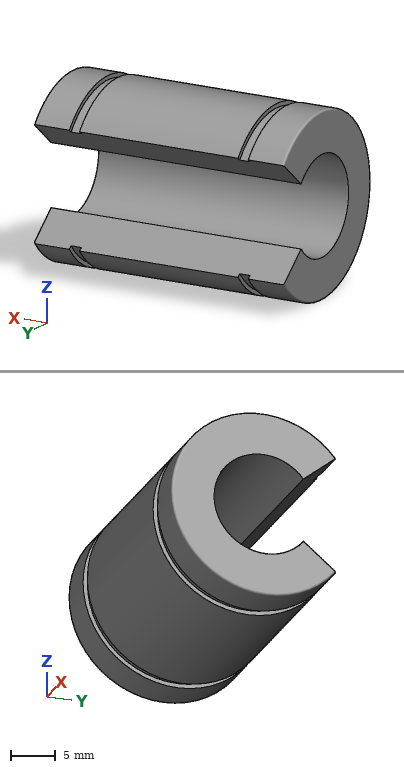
import cadquery as cq
import math

length = 32.0
outer_diameter = 22.0
bore_diameter = 12.0
end_fillet = 0.25

groove_width = 1.3
groove_diameter = 21.0
groove_span = 22.9

opening_angle = 78.0


def cylinder_along_x(diameter, x_start, x_length):
    return cq.Workplane("YZ", origin=(x_start, 0, 0)).circle(diameter / 2).extrude(x_length)


def sleeve():
    body = cylinder_along_x(outer_diameter, -length / 2, length)
    body = body.faces("<X or >X").fillet(end_fillet)
    return body.cut(cylinder_along_x(bore_diameter, -length / 2, length))


def ring_groove(x_start):
    around = cylinder_along_x(outer_diameter, x_start, groove_width)
    return around.cut(cylinder_along_x(groove_diameter, x_start, groove_width))


def opening_wedge():
    reach = outer_diameter
    half_width = reach * math.tan(math.radians(opening_angle / 2))
    return (
        cq.Workplane("YZ", origin=(-length / 2, 0, 0))
        .polyline([(0, 0), (reach, -half_width), (reach, half_width)])
        .close()
        .extrude(length)
    )


result = sleeve()
for groove_start in (-groove_span / 2, groove_span / 2 - groove_width):
    result = result.cut(ring_groove(groove_start))
result = result.cut(opening_wedge())